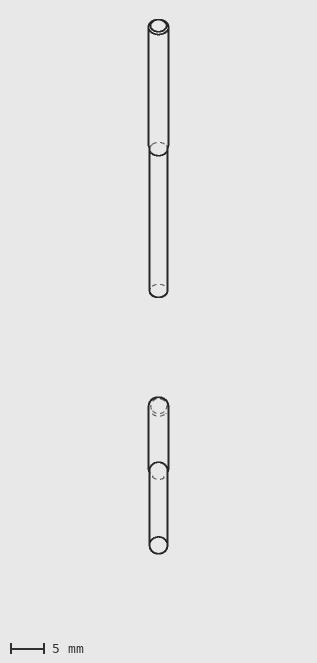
import cadquery as cq
import math

TOTAL_LENGTH = 60.0
SHANK_RADIUS = 1.5
CUTTER_DIAMETER = 2.7
CUTTER_RADIUS = CUTTER_DIAMETER / 2

TOP_CHAMFER = 0.3
SHANK_LENGTH = 26.7
TAPER_LENGTH = 0.55
NECK_LENGTH = 0.35

POINT_ANGLE = 130.0
POINT_HEIGHT = CUTTER_RADIUS / math.tan(math.radians(POINT_ANGLE / 2))

SHANK_BOTTOM_Z = TOTAL_LENGTH - SHANK_LENGTH
NECK_TOP_Z = SHANK_BOTTOM_Z - TAPER_LENGTH
JOINT_Z = NECK_TOP_Z - NECK_LENGTH


def revolve_profile(points):
    """Turn a closed (radius, height) outline around the Z axis."""
    return cq.Workplane("XZ").polyline(points).close().revolve(360, (0, 0, 0), (0, 1, 0))


def make_shank():
    """Chamfered shank that tapers down to a short neck."""
    return revolve_profile([
        (0, JOINT_Z),
        (CUTTER_RADIUS, JOINT_Z),
        (CUTTER_RADIUS, NECK_TOP_Z),
        (SHANK_RADIUS, SHANK_BOTTOM_Z),
        (SHANK_RADIUS, TOTAL_LENGTH - TOP_CHAMFER),
        (SHANK_RADIUS - TOP_CHAMFER, TOTAL_LENGTH),
        (0, TOTAL_LENGTH),
    ])


def make_cutter():
    """Cylindrical cutting part with a conical point."""
    return revolve_profile([
        (0, 0),
        (CUTTER_RADIUS, POINT_HEIGHT),
        (CUTTER_RADIUS, JOINT_Z),
        (0, JOINT_Z),
    ])


shank = make_shank()
cutter = make_cutter()

result = cq.Compound.makeCompound([shank.val(), cutter.val()])